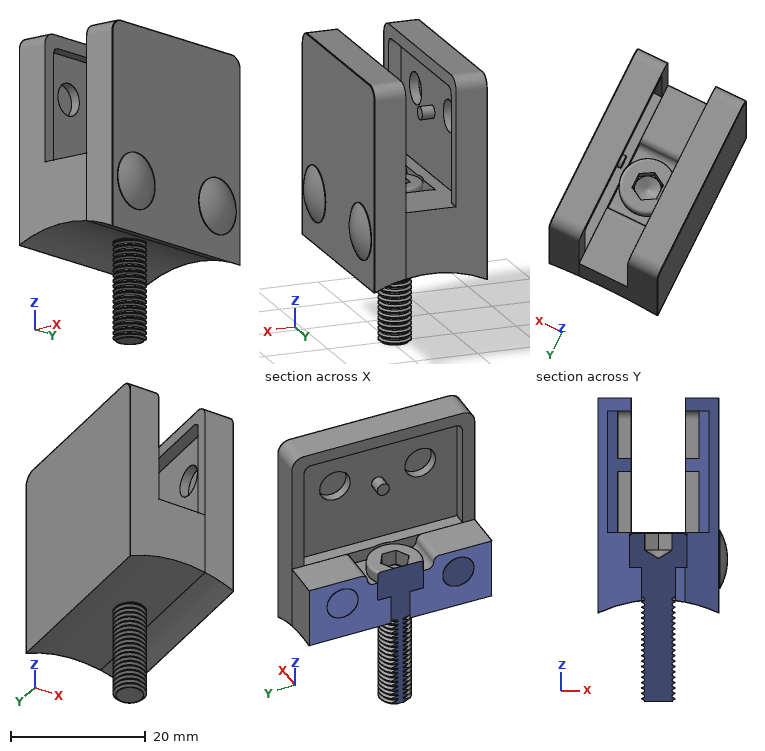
import cadquery as cq
import math

clamp_width = 18.0
clamp_length = 30.0
clamp_height = 32.0
glass_gap = 8.0
web_top = 12.0
plate_corner_radius = 2.0
outer_edge_chamfer = 0.1
half_width = clamp_width / 2
half_length = clamp_length / 2
half_gap = glass_gap / 2
plate_thickness = half_width - half_gap

tube_radius = 21.2
tube_axis_z = -math.sqrt(tube_radius**2 - half_width**2)

pocket_margin = 2.0
pocket_corner_radius = 1.2
pad_sink = 2.0
pad_thickness = 1.5
pad_hole_diameter = 5.0
pad_hole_y = 7.0
pad_hole_z = 23.5
pad_peg_diameter = 2.0
pad_peg_z = 22.0
pocket_length = clamp_length - 2 * pocket_margin
pocket_top = clamp_height - pocket_margin
pocket_depth = pad_sink + pad_thickness

bolt_diameter = 5.0
bolt_length = 20.0
bolt_tip_z = -13.15
bolt_head_diameter = 8.5
bolt_head_height = 5.0
bolt_head_rim_radius = 0.5
hex_across_flats = 4.0
hex_depth = 2.5
drill_point_height = 1.2
thread_pitch = 0.8
thread_depth = 0.433
thread_crest = thread_pitch / 8
thread_root = thread_pitch / 4
thread_flank = (thread_pitch - thread_crest - thread_root) / 2
crest_count = 19
first_crest_height = 0.43
bolt_seat_z = bolt_tip_z + bolt_length

recess_step_radius = 1.0
recess_floor_half = 4.4
recess_floor_z = web_top - 2 * recess_step_radius
recess_mouth_half = recess_floor_half + 2 * recess_step_radius

cover_screw_y = 9.5
cover_screw_z = 8.0
cover_screw_diameter = 5.0
dome_diameter = 8.7
dome_height = 1.3
dome_rim_height = 0.12
cover_screw_end_x = -half_gap


def box_between(x_range, y_range, z_range):
    """Box spanning the given (low, high) limits."""
    (x0, x1), (y0, y1), (z0, z1) = x_range, y_range, z_range
    return cq.Workplane("XY").box(x1 - x0, y1 - y0, z1 - z0, centered=False).translate((x0, y0, z0))


def rounded_plate(x_low, thickness, length, z_low, z_high, corner_radius):
    """Upright plate centred on Y with its two top corners rounded."""
    plate = box_between((x_low, x_low + thickness), (-length / 2, length / 2), (z_low, z_high))
    return plate.edges("|X and >Z").fillet(corner_radius)


def tube_clearance():
    """Handrail tube that shapes the arched underside."""
    tube = cq.Workplane("XZ").center(0, tube_axis_z).circle(tube_radius)
    return tube.extrude(half_length + 1, both=True)


def mirrored(body):
    """Copy of a body on the other side of the YZ plane."""
    return body.mirror("YZ")


def cover_plate():
    """Solid plate on the +X side, before any pocket or hole is cut."""
    plate = rounded_plate(half_gap, plate_thickness, clamp_length, 0, clamp_height, plate_corner_radius)
    exposed_edges = plate.faces(">X").edges("not <Z")
    return exposed_edges.chamfer(outer_edge_chamfer).cut(tube_clearance())


def pad_pocket():
    """Space cut from the inner face of the +X plate."""
    return rounded_plate(half_gap, pocket_depth, pocket_length, web_top, pocket_top, pocket_corner_radius)


def make_pad():
    """Pad at the bottom of the +X pocket, with two round holes and a peg flush with the plate face."""
    pad_x = half_gap + pad_sink
    pad = rounded_plate(pad_x, pad_thickness, pocket_length, web_top, pocket_top, pocket_corner_radius)
    side = cq.Workplane("YZ", origin=(pad_x, 0, 0))
    hole_centers = [(-pad_hole_y, pad_hole_z), (pad_hole_y, pad_hole_z)]
    side_holes = side.pushPoints(hole_centers).circle(pad_hole_diameter / 2).extrude(pad_thickness)
    peg = side.center(0, pad_peg_z).circle(pad_peg_diameter / 2).extrude(-pad_sink)
    return pad.cut(side_holes).union(peg)


def web_recess():
    """Recess across the web: each end steps down through a convex and a concave quarter round."""
    r = recess_step_radius
    wall = recess_floor_half + r
    mouth = recess_mouth_half
    floor_z = recess_floor_z
    bend = r * math.sqrt(0.5)
    outline = (
        cq.Workplane("YZ", origin=(-half_gap, 0, 0))
        .moveTo(-recess_floor_half, floor_z)
        .lineTo(recess_floor_half, floor_z)
        .threePointArc((recess_floor_half + bend, floor_z + r - bend), (wall, floor_z + r))
        .threePointArc((mouth - bend, web_top - r + bend), (mouth, web_top))
        .lineTo(-mouth, web_top)
        .threePointArc((-mouth + bend, web_top - r + bend), (-wall, web_top - r))
        .threePointArc((-recess_floor_half - bend, floor_z + r - bend), (-recess_floor_half, floor_z))
        .close()
    )
    return outline.extrude(glass_gap)


def bolt_clearance():
    """Shank hole through the web and the round seat that lets the head reach into both plates."""
    shank = cq.Workplane("XY", origin=(0, 0, bolt_seat_z)).circle(bolt_diameter / 2).extrude(-bolt_length)
    head = cq.Workplane("XY", origin=(0, 0, bolt_seat_z)).circle(bolt_head_diameter / 2)
    return shank.union(head.extrude(web_top - bolt_seat_z))


def make_bolt():
    """Socket head bolt, tip down, with evenly spaced thread rings on the lower shank."""
    crest_radius = bolt_diameter / 2
    root_radius = crest_radius - thread_depth
    tip_land_top = bolt_tip_z + first_crest_height - thread_crest / 2 - thread_flank
    profile = [(0, bolt_tip_z), (root_radius, bolt_tip_z), (root_radius, tip_land_top)]
    for ring in range(crest_count):
        crest_z = bolt_tip_z + first_crest_height + ring * thread_pitch
        profile.append((crest_radius, crest_z - thread_crest / 2))
        profile.append((crest_radius, crest_z + thread_crest / 2))
        profile.append((root_radius, crest_z + thread_crest / 2 + thread_flank))
        profile.append((root_radius, crest_z + thread_crest / 2 + thread_flank + thread_root))
    thread_end_z = profile[-1][1] + thread_flank
    profile += [(crest_radius, thread_end_z), (crest_radius, bolt_seat_z), (0, bolt_seat_z)]
    shank = cq.Workplane("XZ").polyline(profile).close().revolve(360, (0, 0), (0, 1))

    head = cq.Workplane("XY", origin=(0, 0, bolt_seat_z)).circle(bolt_head_diameter / 2)
    head = head.extrude(bolt_head_height).faces(">Z").edges().fillet(bolt_head_rim_radius)

    hex_radius = hex_across_flats / math.sqrt(3)
    hex_floor_z = bolt_seat_z + bolt_head_height - hex_depth
    hex_points = cq.Workplane("XY", origin=(0, 0, hex_floor_z)).transformed(rotate=(0, 0, 90))
    socket = hex_points.polygon(6, 2 * hex_radius).extrude(hex_depth)
    drill_point = cq.Solid.makeCone(
        hex_across_flats / 2, 0, drill_point_height, cq.Vector(0, 0, hex_floor_z), cq.Vector(0, 0, -1)
    )
    return shank.union(head).cut(socket).cut(cq.Workplane(drill_point))


def cover_screw_hole(y):
    """Straight hole through the cover and into the web."""
    hole = cq.Workplane("YZ", origin=(cover_screw_end_x, y, cover_screw_z))
    return hole.circle(cover_screw_diameter / 2).extrude(half_width - cover_screw_end_x)


def make_cover_screw(y):
    """Screw with a spherical cap on a thin rim for a head, resting on the cover's outer face."""
    cap_radius = dome_diameter / 2
    cap_height = dome_height - dome_rim_height
    sphere_radius = (cap_radius**2 + cap_height**2) / (2 * cap_height)
    middle_angle = math.asin(cap_radius / sphere_radius) / 2
    cap_middle = (
        half_width + dome_height - sphere_radius * (1 - math.cos(middle_angle)),
        sphere_radius * math.sin(middle_angle),
    )
    shank_radius = cover_screw_diameter / 2
    profile = (
        cq.Workplane("XY", origin=(0, y, cover_screw_z))
        .moveTo(cover_screw_end_x, 0)
        .lineTo(cover_screw_end_x, shank_radius)
        .lineTo(half_width, shank_radius)
        .lineTo(half_width, cap_radius)
        .lineTo(half_width + dome_rim_height, cap_radius)
        .threePointArc(cap_middle, (half_width + dome_height, 0))
        .close()
    )
    return profile.revolve(360, (0, 0), (1, 0))


cover = cover_plate().cut(pad_pocket()).cut(bolt_clearance())

web = box_between((-half_gap, half_gap), (-half_length, half_length), (0, web_top)).cut(tube_clearance())
base = mirrored(cover_plate()).union(web)
base = base.cut(mirrored(pad_pocket())).cut(web_recess()).cut(bolt_clearance())

cover_pad = make_pad()
pads = [cover_pad, mirrored(cover_pad)]

bolt = make_bolt()

cover_screws = []
for screw_y in (-cover_screw_y, cover_screw_y):
    hole = cover_screw_hole(screw_y)
    cover = cover.cut(hole)
    base = base.cut(hole)
    cover_screws.append(make_cover_screw(screw_y))

bodies = [base, cover, bolt, *pads, *cover_screws]
result = cq.Compound.makeCompound([body.val() for body in bodies])